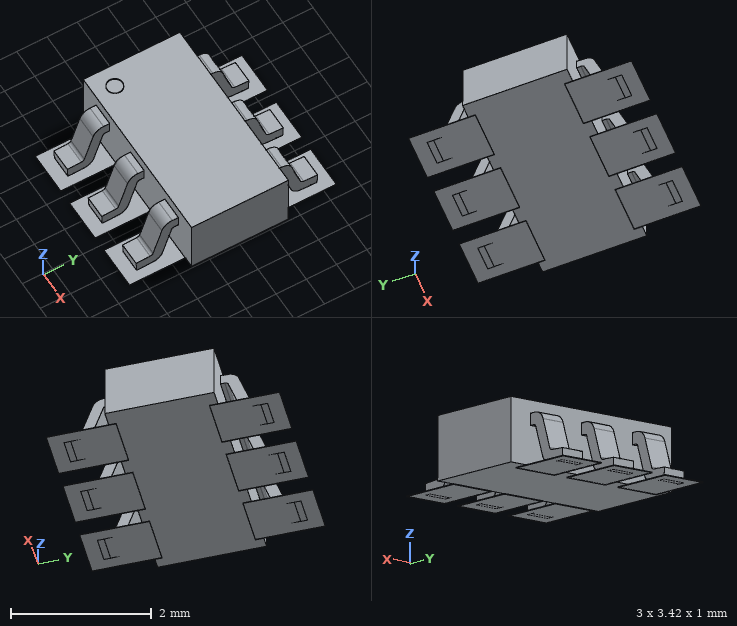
import cadquery as cq
import math


body_length = 3.0
body_width = 1.6
body_bottom = 0.04
body_top = 1.0

mark_diameter = 0.253
mark_depth = 0.017
mark_inset = 0.33

lead_count = 3
lead_pitch = 0.95
pad_width = 0.71
pad_length = 1.025
pad_thickness = 0.01
pad_span = 3.42

lead_span = 3.0
lead_width = 0.373
lead_thickness = 0.178
lead_top = 0.805
shoulder_length = 0.233
shank_angle = 72
foot_angle = 3
outer_bend_radius = 0.18
inner_bend_radius = 0.055

pad_offset = (pad_span - pad_length) / 2
lead_positions = [(i - (lead_count - 1) / 2) * lead_pitch for i in range(lead_count)]


def downward_normal(angle):
    """Unit normal on the underside of a strip that descends outwards at the angle."""
    slope = math.radians(angle)
    return cq.Vector(-math.sin(slope), -math.cos(slope))


def underside(point, angle_before, angle_after):
    """Underside point opposite a top-side point where two strip directions meet."""
    before = downward_normal(angle_before)
    after = downward_normal(angle_after)
    return point + (before + after) * (lead_thickness / (1 + before.dot(after)))


def make_lead():
    """Bent lead on the +Y side, centred on X = 0; its profile points are (Y, Z)."""
    shank_slope = math.tan(math.radians(shank_angle))
    foot_slope = math.tan(math.radians(foot_angle))

    root = cq.Vector(body_width / 2, lead_top)
    shoulder = root + cq.Vector(shoulder_length, 0)
    toe_height = pad_thickness / 2 + lead_thickness * math.cos(math.radians(foot_angle))
    toe = cq.Vector(lead_span / 2, toe_height)

    toe_reach = toe.x - shoulder.x
    fall = shoulder.y - toe.y
    heel_reach = (fall - foot_slope * toe_reach) / (shank_slope - foot_slope)
    heel = shoulder + cq.Vector(heel_reach, -shank_slope * heel_reach)

    shoulder_under = underside(shoulder, 0, shank_angle)
    heel_under = underside(heel, shank_angle, foot_angle)
    corners = [
        root,
        shoulder,
        heel,
        toe,
        underside(toe, foot_angle, foot_angle),
        heel_under,
        shoulder_under,
        underside(root, 0, 0),
    ]
    lead = (
        cq.Workplane("YZ")
        .polyline([(corner.x, corner.y) for corner in corners])
        .close()
        .extrude(lead_width / 2, both=True)
    )

    bends = [
        (shoulder, outer_bend_radius),
        (shoulder_under, inner_bend_radius),
        (heel, inner_bend_radius),
        (heel_under, outer_bend_radius),
    ]
    for corner, radius in bends:
        nearest = cq.selectors.NearestToPointSelector((0, corner.x, corner.y))
        lead = lead.edges("|X").edges(nearest).fillet(radius)
    return lead


def make_pad():
    """Thin rectangular pad under a +Y lead, centred on X = 0."""
    return (
        cq.Workplane("XY")
        .center(0, pad_offset)
        .rect(pad_width, pad_length)
        .extrude(pad_thickness)
    )


def make_body():
    """Plain block with a shallow round mark in the corner next to pin one."""
    block = (
        cq.Workplane("XY")
        .workplane(offset=body_bottom)
        .rect(body_length, body_width)
        .extrude(body_top - body_bottom)
    )
    mark = (
        cq.Workplane("XY")
        .workplane(offset=body_top - mark_depth)
        .center(mark_inset - body_length / 2, mark_inset - body_width / 2)
        .circle(mark_diameter / 2)
        .extrude(mark_depth)
    )
    return block.cut(mark)


lead_on_pad = make_lead().union(make_pad())
opposite_lead_on_pad = lead_on_pad.mirror("XZ")

result = make_body()
for x in lead_positions:
    result = result.union(lead_on_pad.translate((x, 0, 0)))
    result = result.union(opposite_lead_on_pad.translate((x, 0, 0)))